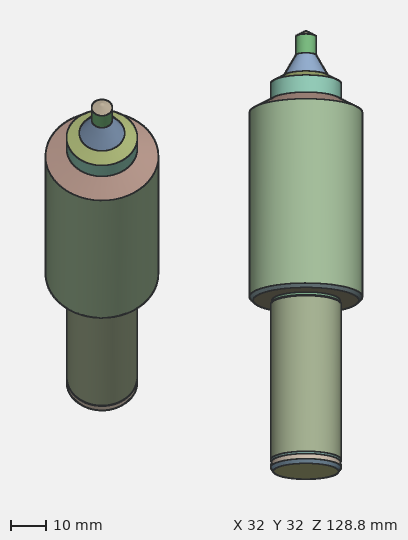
import cadquery as cq
import math

body_radius = 32.0 / 2
shank_radius = 10.0
pin_radius = 3.0
neck_radius = 6.5
undercut_radius = 9.7
groove_radius = 9.8

total_height = 128.8
pin_bottom = 121.5
neck_bottom = 115.4
collar_bottom = 108.3
body_bottom = 50.0
undercut_bottom = 49.2
groove_top = 3.3
groove_floor = 2.7
groove_bottom = 1.4

body_chamfer = 1.0
shank_chamfer_height = 1.2
shank_chamfer_width = 0.8
undercut_flare_height = 0.4

cone_slope = math.tan(math.radians(30))
pin_top = total_height - pin_radius * cone_slope
collar_top = neck_bottom - (shank_radius - neck_radius) * cone_slope
shoulder_bottom = collar_bottom - (body_radius - shank_radius) * cone_slope

half_section = [
    (0, 0),
    (shank_radius - shank_chamfer_width, 0),
    (shank_radius, shank_chamfer_height),
    (shank_radius, groove_bottom),
    (groove_radius, groove_floor),
    (shank_radius, groove_top),
    (shank_radius, undercut_bottom - undercut_flare_height),
    (undercut_radius, undercut_bottom),
    (undercut_radius, body_bottom),
    (body_radius - body_chamfer, body_bottom),
    (body_radius, body_bottom + body_chamfer),
    (body_radius, shoulder_bottom),
    (shank_radius, collar_bottom),
    (shank_radius, collar_top),
    (neck_radius, neck_bottom),
    (pin_radius, pin_bottom),
    (pin_radius, pin_top),
    (0, total_height),
]

result = cq.Workplane("XZ").polyline(half_section).close().revolve(360, (0, 0), (0, 1))